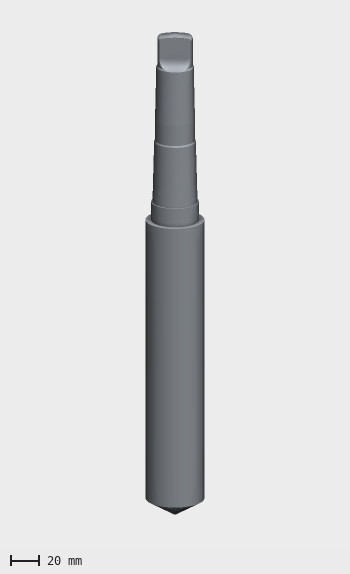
import cadquery as cq
import math

TOTAL_LENGTH = 354.0
SPLIT_Z = 163.5
NECK_Z = 217.5
TAPER_START_Z = 230.8
GROOVE_BOTTOM_Z = 275.0
GROOVE_TOP_Z = 291.0
SHOULDER_Z = 330.0
FLAT_END_Z = 337.7
STEP_SLOPE = 1.0

BODY_R = 41.0 / 2
COLLAR_R = 33.3 / 2
TAPER_LARGE_R = 31.5 / 2
TAPER_SMALL_R = 26.2 / 2
GROOVE_R = 28.0 / 2
TANG_R = 24.8 / 2

POINT_ANGLE = 118.0
POINT_HEIGHT = BODY_R / math.tan(math.radians(POINT_ANGLE / 2))

TANG_THICKNESS = 12.0
TANG_ANGLE = 32.0
TIP_RISE = 1.5
TIP_ROUND = 2.0
TIP_ROUND_HEIGHT = 2.0
RUNOUT_R = FLAT_END_Z - SHOULDER_Z


def taper_radius(z):
    """Radius of the tapered shank at height z."""
    fraction = (z - TAPER_START_Z) / (SHOULDER_Z - TAPER_START_Z)
    return TAPER_LARGE_R + fraction * (TAPER_SMALL_R - TAPER_LARGE_R)


def make_cutting_head():
    """Full-diameter cylinder with a conical drill point."""
    return (
        cq.Workplane("XZ")
        .moveTo(0, 0)
        .lineTo(BODY_R, POINT_HEIGHT)
        .lineTo(BODY_R, SPLIT_Z)
        .lineTo(0, SPLIT_Z)
        .close()
        .revolve(360, (0, 0), (0, 1))
    )


def make_turned_shank():
    """Shank base, collar, grooved taper and round tang blank."""
    rim_z = TOTAL_LENGTH - TIP_RISE
    round_start_z = rim_z - TIP_ROUND_HEIGHT
    diagonal = math.sqrt(0.5)
    round_mid = (
        TANG_R - TIP_ROUND * (1 - diagonal),
        round_start_z + TIP_ROUND_HEIGHT * diagonal,
    )
    return (
        cq.Workplane("XZ")
        .moveTo(0, SPLIT_Z)
        .lineTo(BODY_R, SPLIT_Z)
        .lineTo(BODY_R, NECK_Z)
        .lineTo(COLLAR_R, NECK_Z)
        .lineTo(COLLAR_R, TAPER_START_Z)
        .lineTo(TAPER_LARGE_R, TAPER_START_Z)
        .lineTo(taper_radius(GROOVE_BOTTOM_Z), GROOVE_BOTTOM_Z)
        .lineTo(GROOVE_R, GROOVE_BOTTOM_Z + STEP_SLOPE)
        .lineTo(GROOVE_R, GROOVE_TOP_Z)
        .lineTo(TAPER_SMALL_R, SHOULDER_Z)
        .lineTo(TANG_R, SHOULDER_Z + STEP_SLOPE)
        .lineTo(TANG_R, round_start_z)
        .threePointArc(round_mid, (TANG_R - TIP_ROUND, rim_z))
        .lineTo(0, TOTAL_LENGTH)
        .close()
        .revolve(360, (0, 0), (0, 1))
    )


def make_flat_cutter():
    """Material removed beside one tang flat, with a concave run-out at its foot."""
    flat_x = TANG_THICKNESS / 2
    runout_x = flat_x + RUNOUT_R
    diagonal = RUNOUT_R * math.sqrt(0.5)
    return (
        cq.Workplane("XZ")
        .moveTo(flat_x, TOTAL_LENGTH)
        .lineTo(flat_x, FLAT_END_Z)
        .threePointArc(
            (runout_x - diagonal, FLAT_END_Z - diagonal),
            (runout_x, SHOULDER_Z),
        )
        .lineTo(runout_x, TOTAL_LENGTH)
        .close()
        .extrude(BODY_R, both=True)
    )


def make_shank():
    """Tapered shank with two opposite flats forming the tang."""
    shank = make_turned_shank()
    for side_angle in (90, 270):
        cutter = make_flat_cutter().rotate((0, 0, 0), (0, 0, 1), TANG_ANGLE + side_angle)
        shank = shank.cut(cutter)
    return shank


cutting_head = make_cutting_head()
shank = make_shank()

result = cq.Compound.makeCompound([cutting_head.val(), shank.val()])